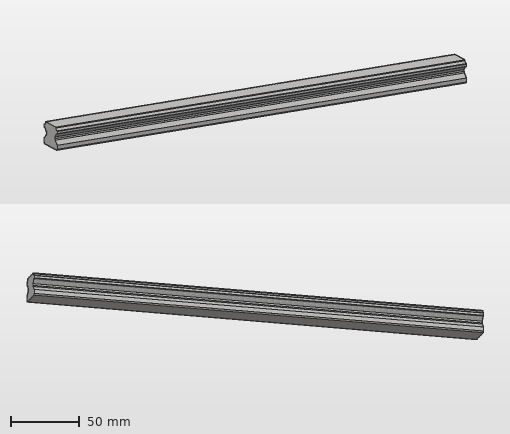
import cadquery as cq
import math

length = 340.0
width = 20.0
height = 17.5
half_width = width / 2

base_chamfer = 1.0
foot_side_top = 4.0
shoulder_size = 3.0

waist_half_width = 6.5
waist_bottom = 8.0
waist_top = 9.5

top_half_width = 7.8
groove_lip = 0.7
nose_bottom = 13.0
nose_top = 14.5
nose_chamfer = 0.5
groove_sag = 0.5
lower_groove_height = 1.5

groove_outer_x = half_width - nose_chamfer
upper_outer = (groove_outer_x, nose_top + nose_chamfer)
upper_inner = (top_half_width, height - groove_lip)
lower_outer = (groove_outer_x, nose_bottom - nose_chamfer)
lower_inner = (top_half_width, lower_outer[1] - lower_groove_height)


def groove_bottom(start, end, z_direction):
    """Deepest point of a groove arc, sunk diagonally into the head from the middle of its chord."""
    sink = groove_sag * math.sqrt(0.5)
    x = (start[0] + end[0]) / 2 - sink
    z = (start[1] + end[1]) / 2 + z_direction * sink
    return (x, z)


def half_profile():
    """Cross-section on the +X side of the symmetry plane, drawn from the base up to the top."""
    return (
        cq.Workplane("XZ")
        .lineTo(half_width - base_chamfer, 0)
        .lineTo(half_width, base_chamfer)
        .lineTo(half_width, foot_side_top)
        .lineTo(half_width - shoulder_size, foot_side_top + shoulder_size)
        .lineTo(waist_half_width, waist_bottom)
        .lineTo(waist_half_width, waist_top)
        .lineTo(*lower_inner)
        .threePointArc(groove_bottom(lower_inner, lower_outer, 1), lower_outer)
        .lineTo(half_width, nose_bottom)
        .lineTo(half_width, nose_top)
        .lineTo(*upper_outer)
        .threePointArc(groove_bottom(upper_outer, upper_inner, -1), upper_inner)
        .lineTo(top_half_width, height)
        .lineTo(0, height)
        .close()
    )


half_rail = half_profile().extrude(length / 2, both=True)
result = half_rail.union(half_rail.mirror("YZ")).clean()